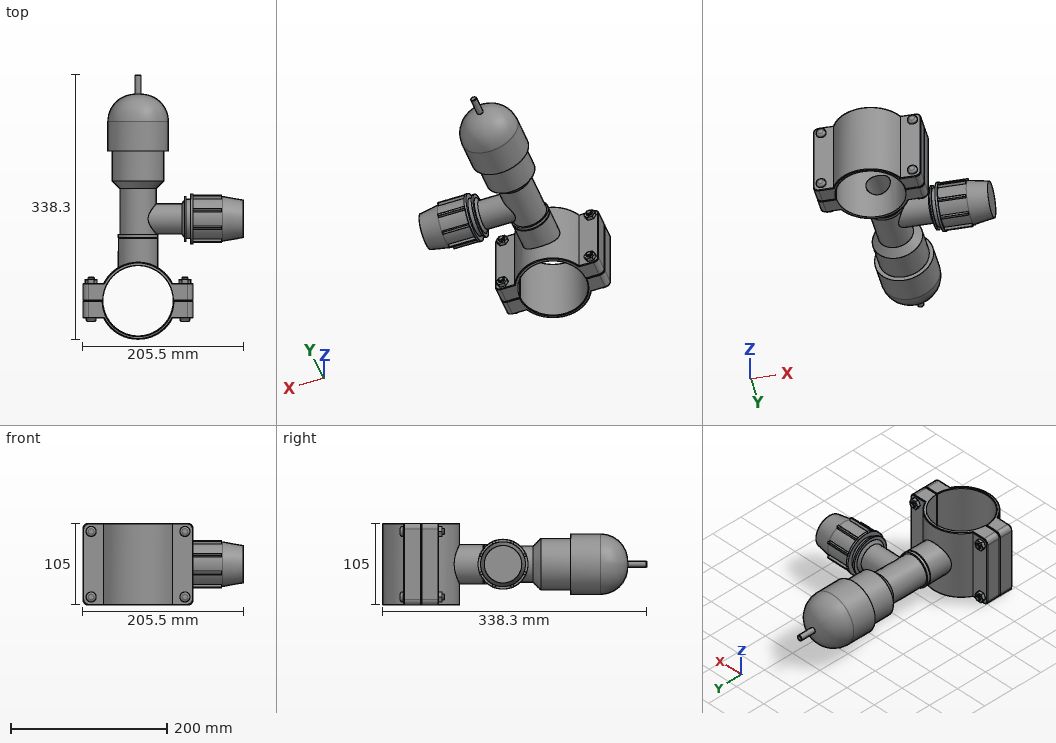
import cadquery as cq
import math


overall_length = 338.3
overall_width = 205.5

clamp_height = 105.0
bore_radius = 45.0
ring_radius = 49.5
flange_half_width = 141.0 / 2
flange_thickness = 22.3
flange_corner_radius = 7.0
edge_chamfer = 1.0

bolt_x = 120.0 / 2
bolt_z = 84.0 / 2
head_diameter = 13.0
head_height = 4.5
head_rounding = 2.88
nut_sides = 6
nut_across_flats = 13.2
nut_height = 4.7
thread_diameter = 8.0
thread_end = 7.8
thread_chamfer = 1.0

collar_radius = 51.0 / 2
saddle_neck_radius = 50.7 / 2
collar_groove_y = 80.2
collar_groove_depth = 0.7
collar_top_y = 85.0
pipe_radius = 46.7 / 2
cone_start_y = 143.5
neck_radius = 66.3 / 2
cone_end_y = cone_start_y + neck_radius - pipe_radius
cap_radius = 77.8 / 2
cap_bottom_y = 191.5
dome_top_y = 264.5
pin_radius = 8.0 / 2
pin_end_y = overall_length - ring_radius
pin_chamfer = 0.7
dome_rounding = cap_radius - pin_radius
dome_base_y = dome_top_y - dome_rounding
port_diameter = 32.0

branch_y = 105.0
branch_radius = 39.0 / 2
flare_radius = 48.0 / 2
flare_start_x = 56.0
washer_radius = 57.5 / 2
washer_start_x = 59.2
washer_end_x = 61.5
spigot_radius = 50.7 / 2
nut_flange_radius = 64.0 / 2
nut_flange_start_x = 67.3
nut_flange_end_x = 70.5
grip_radius = 57.5 / 2
grip_end_x = 108.0
branch_end_radius = 48.0 / 2
branch_end_x = overall_width - flange_half_width

rib_count = 8
rib_base_width = 4.5
rib_top_width = 2.7
rib_radius = 64.3 / 2
rib_end_x = 107.0


def half_clamp(side):
    """Solid clamp half without its bore; side is +1 toward the main pipe, -1 away from it."""
    flange_y = side * flange_thickness
    meet_x = math.sqrt(ring_radius**2 - flange_thickness**2)
    half = (
        cq.Workplane("XY", origin=(0, 0, -clamp_height / 2))
        .moveTo(-flange_half_width, 0)
        .lineTo(flange_half_width, 0)
        .lineTo(flange_half_width, flange_y)
        .lineTo(meet_x, flange_y)
        .threePointArc((0, side * ring_radius), (-meet_x, flange_y))
        .lineTo(-flange_half_width, flange_y)
        .close()
        .extrude(clamp_height)
    )
    return half.edges("|Y").fillet(flange_corner_radius)


def chamfer_edges(half):
    """Break every edge except the flange corners and the inside corners between flange and ring."""
    reach = ring_radius
    near_parting = flange_thickness / 2
    mid_slab = clamp_height / 4
    inside_corners = cq.selectors.BoxSelector(
        (-reach, near_parting, -mid_slab), (reach, reach, mid_slab)
    ) + cq.selectors.BoxSelector((-reach, -reach, -mid_slab), (reach, -near_parting, mid_slab))
    flange_corners = cq.selectors.ParallelDirSelector(cq.Vector(0, 1, 0))
    return half.edges(-(inside_corners + flange_corners)).chamfer(edge_chamfer)


def clamp_bolt(x, z):
    """Round-headed bolt with its head on the -Y side and its nut on the +Y side."""
    head = (
        cq.Workplane("XZ", origin=(x, -flange_thickness, z))
        .circle(head_diameter / 2)
        .extrude(head_height)
        .faces("<Y").edges().fillet(head_rounding)
    )
    seat = cq.Workplane("XZ", origin=(x, flange_thickness, z))
    nut = (
        seat.transformed(rotate=(0, 0, 180 / nut_sides))
        .polygon(nut_sides, nut_across_flats, circumscribed=True)
        .extrude(-nut_height)
    )
    thread = seat.circle(thread_diameter / 2).extrude(-thread_end)
    thread = thread.faces(">Y").edges().chamfer(thread_chamfer)
    return head.union(nut).union(thread)


def main_pipe():
    """Saddle neck, pipe, reducer cone, domed cap and pin, turned about the Y axis."""
    groove = collar_groove_depth
    dome_mid = dome_rounding * math.sqrt(0.5)
    return (
        cq.Workplane("XY")
        .moveTo(0, 0)
        .lineTo(saddle_neck_radius, 0)
        .lineTo(saddle_neck_radius, collar_groove_y - groove)
        .lineTo(collar_radius - groove, collar_groove_y)
        .lineTo(collar_radius, collar_groove_y + groove)
        .lineTo(collar_radius, collar_top_y)
        .lineTo(pipe_radius, collar_top_y)
        .lineTo(pipe_radius, cone_start_y)
        .lineTo(neck_radius, cone_end_y)
        .lineTo(neck_radius, cap_bottom_y)
        .lineTo(cap_radius, cap_bottom_y)
        .lineTo(cap_radius, dome_base_y)
        .threePointArc((pin_radius + dome_mid, dome_base_y + dome_mid), (pin_radius, dome_top_y))
        .lineTo(pin_radius, pin_end_y - pin_chamfer)
        .lineTo(pin_radius - pin_chamfer, pin_end_y)
        .lineTo(0, pin_end_y)
        .close()
        .revolve(360, (0, 0, 0), (0, 1, 0))
    )


def branch():
    """Side pipe with flare, washer, flanged grip nut and tapered end, turned about its X axis."""
    body = (
        cq.Workplane("XY", origin=(0, branch_y, 0))
        .moveTo(0, 0)
        .lineTo(0, branch_radius)
        .lineTo(flare_start_x, branch_radius)
        .lineTo(washer_start_x, flare_radius)
        .lineTo(washer_start_x, washer_radius)
        .lineTo(washer_end_x, washer_radius)
        .lineTo(washer_end_x, spigot_radius)
        .lineTo(nut_flange_start_x, spigot_radius)
        .lineTo(nut_flange_start_x, nut_flange_radius)
        .lineTo(nut_flange_end_x, nut_flange_radius)
        .lineTo(nut_flange_end_x, grip_radius)
        .lineTo(grip_end_x, grip_radius)
        .lineTo(branch_end_x, branch_end_radius)
        .lineTo(branch_end_x, 0)
        .close()
        .revolve(360, (0, 0, 0), (1, 0, 0))
    )
    pitch = 360 / rib_count
    rib_foot_radius = math.sqrt(grip_radius**2 - (rib_base_width / 2) ** 2)
    for index in range(rib_count):
        rib = (
            cq.Workplane("YZ", origin=(nut_flange_end_x, branch_y, 0))
            .transformed(rotate=(0, 0, (index + 0.5) * pitch))
            .moveTo(0, -rib_base_width / 2)
            .lineTo(rib_foot_radius, -rib_base_width / 2)
            .lineTo(rib_radius, -rib_top_width / 2)
            .lineTo(rib_radius, rib_top_width / 2)
            .lineTo(rib_foot_radius, rib_base_width / 2)
            .lineTo(0, rib_base_width / 2)
            .close()
            .extrude(rib_end_x - nut_flange_end_x)
        )
        body = body.union(rib)
    return body


bore = cq.Workplane("XY", origin=(0, 0, -clamp_height / 2)).circle(bore_radius).extrude(clamp_height)
port = cq.Workplane("XZ").circle(port_diameter / 2).extrude(-collar_top_y)

pipe_side_half = chamfer_edges(half_clamp(1)).union(main_pipe()).cut(bore).cut(port)
loose_half = chamfer_edges(half_clamp(-1).cut(bore))

result = pipe_side_half.union(loose_half).union(branch())
for x in (-bolt_x, bolt_x):
    for z in (-bolt_z, bolt_z):
        result = result.union(clamp_bolt(x, z))